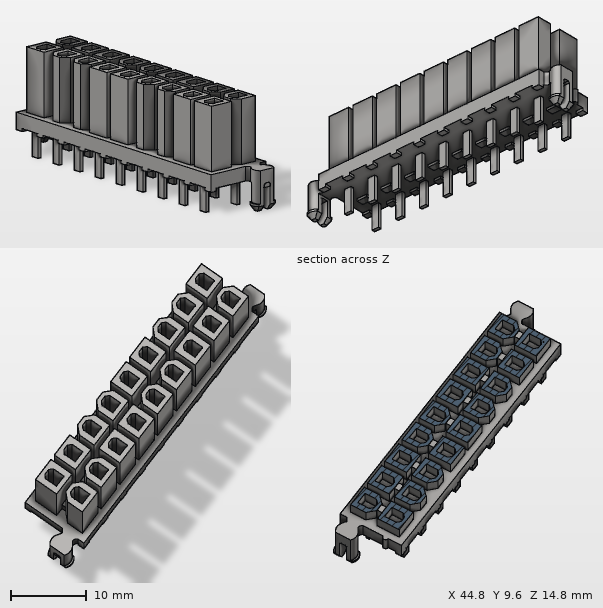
import cadquery as cq
import math


overall_length = 44.8
overall_width = 9.6
overall_height = 14.85

plate_length = 39.0
plate_thickness = 2.4
web_thickness = 2.0
rail_width = 0.95
tower_height = 9.0
pin_depth = overall_height - tower_height

columns = 9
column_span = 33.6
pitch = column_span / (columns - 1)
row_y = pitch / 2

tower_size = 3.45
key_chamfer = 1.05
cavity_width = 1.7
cavity_length = 2.2
cavity_wall = 0.65
cavity_chamfer = 0.45
link_width = 1.08
link_height = 1.55
link_length = pitch - tower_size

pin_width = 1.15
pin_thickness = 0.55
front_pin_y = -3.6
pin_row_spacing = 5.4
notch_width = 3.0
foot_width = 1.7
foot_length = 1.1
foot_y = -1.25

gate_length = 0.05
gate_height = 0.6
peg_y = 2.5
peg_depth = 1.85
peg_flat = 2.35
peg_width = 3.05
neck_width = 1.85
neck_root_width = 2.6
neck_root_sag = 0.11
neck_root_length = 0.63
barb_overhang = 0.25
barb_top = -4.55
barb_straight = 0.3
peg_bottom = -5.7
tip_inset = 0.6
slot_width = 1.08
slot_top = -1.85
slot_chamfer = 0.22

nub_radius = 0.4
nub_y = -2.35

peg_span = overall_length - gate_length
peg_outer_x = -peg_span / 2
peg_inner_x = peg_outer_x + peg_depth
plate_end_x = -plate_length / 2

column_xs = [-column_span / 2 + i * pitch for i in range(columns)]


def block(x_size, y_size, x, y, z_low, z_high):
    """Box centred on (x, y) between two heights."""
    height = z_high - z_low
    return cq.Workplane("XY").box(x_size, y_size, height).translate((x, y, (z_low + z_high) / 2))


def make_plate():
    plate = block(plate_length, overall_width, 0, 0, -plate_thickness, 0)
    channel_width = overall_width - 2 * rail_width
    plate = plate.cut(block(plate_length, channel_width, 0, 0, -plate_thickness, -web_thickness))
    for x in column_xs:
        plate = plate.cut(block(notch_width, overall_width, x, 0, -plate_thickness, -web_thickness))
    for x in column_xs:
        plate = plate.union(block(foot_width, foot_length, x, foot_y, -plate_thickness, 0))
    nub = cq.Workplane("XY").center(plate_end_x, nub_y).circle(nub_radius)
    return plate.union(nub.extrude(-web_thickness))


def make_tower(x, y, keyed):
    """Hollow tower; a keyed one has its two -Y corners cut off."""
    tower = block(tower_size, tower_size, x, y, 0, tower_height)
    if keyed:
        tower = tower.faces("<Y").edges("|Z").chamfer(key_chamfer)
    cavity_y = y + tower_size / 2 - cavity_wall - cavity_length / 2
    cavity = block(cavity_width, cavity_length, x, cavity_y, 0, tower_height)
    cavity = cavity.faces("<Y").edges("|Z").chamfer(cavity_chamfer)
    return tower.cut(cavity)


def make_peg():
    """Split snap peg on the -X end, with the neck that joins it to the plate."""
    middle_x = peg_outer_x + peg_depth / 2
    waist_x = plate_end_x - neck_root_length

    def barrel(z, extra):
        flat = peg_flat / 2 + extra
        crown = peg_width / 2 + extra
        return (
            cq.Workplane("XY", origin=(0, peg_y, z))
            .moveTo(peg_outer_x, -flat)
            .threePointArc((middle_x, -crown), (peg_inner_x, -flat))
            .lineTo(peg_inner_x, flat)
            .threePointArc((middle_x, crown), (peg_outer_x, flat))
            .close()
        )

    neck = (
        cq.Workplane("XY", origin=(0, peg_y, 0))
        .moveTo(peg_inner_x, -peg_flat / 2)
        .lineTo(waist_x, -neck_width / 2)
        .sagittaArc((plate_end_x, -neck_root_width / 2), neck_root_sag)
        .lineTo(plate_end_x, neck_root_width / 2)
        .sagittaArc((waist_x, neck_width / 2), neck_root_sag)
        .lineTo(peg_inner_x, peg_flat / 2)
        .close()
        .extrude(-web_thickness)
    )
    tip_top = barb_top - barb_straight
    tip_height = tip_top - peg_bottom
    tip_taper = math.degrees(math.atan2(tip_inset, tip_height))
    shank = barrel(0, 0).extrude(barb_top)
    barb = barrel(barb_top, barb_overhang).extrude(-barb_straight)
    tip = barrel(tip_top, barb_overhang).extrude(-tip_height, taper=tip_taper)
    slot = block(peg_depth, slot_width, middle_x, peg_y, peg_bottom, slot_top)
    slot = slot.faces(">Z").edges("|X").chamfer(slot_chamfer)
    return shank.union(barb).union(tip).cut(slot).union(neck)


result = make_plate()

for column, x in enumerate(column_xs):
    rear_keyed = column % 4 in (0, 3)
    result = result.union(make_tower(x, row_y, rear_keyed))
    result = result.union(make_tower(x, -row_y, not rear_keyed))
    result = result.union(block(link_width, link_length, x, 0, 0, link_height))
    for pin_y in (front_pin_y, front_pin_y + pin_row_spacing):
        result = result.union(block(pin_width, pin_thickness, x, pin_y, -pin_depth, -web_thickness))

peg = make_peg()
result = result.union(peg).union(peg.mirror("YZ"))

gate_x_size = peg_depth + gate_length
gate_x = -peg_inner_x + gate_x_size / 2
gate = block(gate_x_size, slot_width, gate_x, peg_y, slot_top - gate_height, slot_top)
result = result.union(gate.faces(">Z").edges("|X").chamfer(slot_chamfer))

result = result.translate((-gate_length / 2, 0, 0))